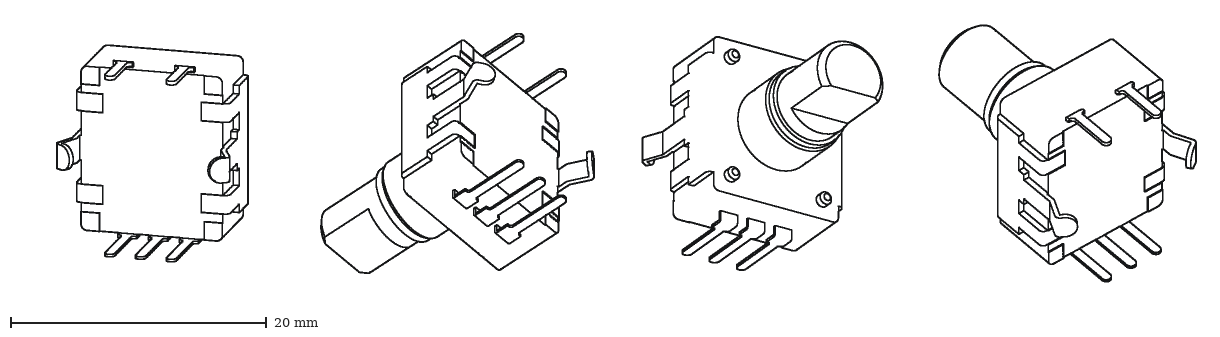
import cadquery as cq
import math


shaft_radius = 3.0
shaft_end = 11.47
shaft_chamfer = 0.48
flat_length = 5.0
flat_distance = 1.51
neck_radius = 3.34
neck_end = 5.0
bushing_radius = 3.5
bushing_end = 4.37
bushing_chamfer_length = 0.25
bushing_root_depth = 0.5

housing_width = 11.49
housing_height = 13.4
housing_depth = 5.92
corner_radius = 0.5
foot_size = 1.5
foot_height = 0.08

peg_radius = 0.52
peg_height = 0.8
peg_chamfer = 0.23
peg_x = 4.22
peg_z = 5.12

sheet = 0.4
cover_width = 12.5
cover_height = 10.37
plate_bend_radius = 0.45
tab_bend_radius = 0.4
plate_depth = 2.92
tab_center_z = 3.74
tab_width = 1.51
tab_length = 2.25
tab_recess = 0.08
leg_width = 2.02
leg_root_width = 3.15
leg_root_depth = 3.55
leg_straight_depth = 6.72
leg_kink_depth = 8.42
overall_width = 14.0
leg_splay_angle = 26.5
leg_tip_angle = 34.0
leg_tip_length = 1.36
leg_tip_radius = 0.99

pin_end_depth = 9.53
pin_spacing = 2.5
pin_head_width = 1.53
outer_shank_width = 0.8
middle_shank_width = 0.85
pin_flare_radius = 0.25
upper_pin_thickness = 0.32
upper_pin_z = 7.15
upper_pin_start = 5.05
upper_head_length = 0.48
lower_pin_thickness = 0.2
lower_pin_z = 7.6
lower_pin_start = 2.92
lower_head_length = 1.32

half_cover = cover_width / 2
half_housing = housing_width / 2
half_height = housing_height / 2
tab_depth = housing_depth - tab_recess


def span_box(x_range, y_range, z_range):
    """Box between the given coordinate pairs."""
    sizes = [high - low for low, high in (x_range, y_range, z_range)]
    corner = cq.Vector(x_range[0], y_range[0], z_range[0])
    return cq.Workplane(cq.Solid.makeBox(*sizes, pnt=corner))


def make_shaft():
    """Bushing, neck and shaft turned about Y, with the flat cut on the underside."""
    turned = (
        cq.Workplane("XY")
        .moveTo(0, -bushing_root_depth)
        .lineTo(bushing_radius, -bushing_root_depth)
        .lineTo(bushing_radius, bushing_end - bushing_chamfer_length)
        .lineTo(neck_radius, bushing_end)
        .lineTo(neck_radius, neck_end)
        .lineTo(shaft_radius, neck_end)
        .lineTo(shaft_radius, shaft_end - shaft_chamfer)
        .lineTo(shaft_radius - shaft_chamfer, shaft_end)
        .lineTo(0, shaft_end)
        .close()
        .revolve(360, (0, 0, 0), (0, 1, 0))
    )
    below_flat = span_box(
        (-shaft_radius, shaft_radius),
        (shaft_end - flat_length, shaft_end),
        (-shaft_radius, -flat_distance),
    )
    return turned.cut(below_flat)


def make_housing():
    """Block with rounded long edges, a raised foot in each back corner and four pegs."""
    full_depth = housing_depth + foot_height
    block = (
        cq.Workplane("XZ")
        .rect(housing_width, housing_height)
        .extrude(full_depth)
        .edges("|Y")
        .fillet(corner_radius)
    )
    foot_layer = (-full_depth, -housing_depth)
    inner_x = half_housing - foot_size
    inner_z = half_height - foot_size
    upright_gap = span_box((-inner_x, inner_x), foot_layer, (-half_height, half_height))
    level_gap = span_box((-half_housing, half_housing), foot_layer, (-inner_z, inner_z))
    pegs = (
        cq.Workplane("XZ")
        .rect(2 * peg_x, 2 * peg_z, forConstruction=True)
        .vertices()
        .circle(peg_radius)
        .extrude(-peg_height)
        .faces(">Y")
        .chamfer(peg_chamfer)
    )
    return block.cut(upright_gap).cut(level_gap).union(pegs)


def tab_z_range(side):
    """Z extent of the upper (+1) or lower (-1) tab."""
    center = side * tab_center_z
    return (center - tab_width / 2, center + tab_width / 2)


def tab_pocket(side):
    """Shallow pocket that sets the folded tab below the back face of the housing."""
    x_range = (half_cover - tab_length, half_cover)
    return span_box(x_range, (-housing_depth, -tab_depth), tab_z_range(side))


def make_tab(side):
    """Tab beside the housing, folded over its back face."""
    tab = span_box((half_cover - tab_length, half_cover), (-tab_depth, -plate_depth), tab_z_range(side))
    return tab.edges("|Z and >X and <Y").fillet(tab_bend_radius)


def make_leg():
    """+X snap-in leg: straight, splayed outward, then kinked back to a rounded tip."""
    splay = math.radians(leg_splay_angle)
    tip = math.radians(leg_tip_angle)
    inner_x = half_cover - sheet
    kink_x = overall_width / 2 - sheet

    def around(center_x, center_y, angle):
        return (center_x + sheet * math.cos(angle), center_y + sheet * math.sin(angle))

    bend = (half_cover, -leg_straight_depth)
    kink = (kink_x, -leg_kink_depth)
    tip_normal = tip - math.pi / 2
    tip_inner = (
        kink_x - leg_tip_length * math.cos(tip),
        -leg_kink_depth - leg_tip_length * math.sin(tip),
    )
    leg = (
        cq.Workplane("XY", origin=(0, 0, -leg_width / 2))
        .moveTo(inner_x, -plate_depth)
        .lineTo(half_cover, -plate_depth)
        .lineTo(*bend)
        .lineTo(*around(*kink, splay))
        .threePointArc(around(*kink, 0), around(*kink, -math.pi / 2 + tip))
        .lineTo(*around(*tip_inner, tip_normal))
        .lineTo(*tip_inner)
        .lineTo(*kink)
        .lineTo(*around(*bend, math.pi + splay))
        .threePointArc(around(*bend, math.pi + splay / 2), around(*bend, math.pi))
        .close()
        .extrude(leg_width)
    )
    across_tip = cq.Vector(math.cos(tip_normal), math.sin(tip_normal), 0)
    return leg.edges(cq.selectors.ParallelDirSelector(across_tip)).fillet(leg_tip_radius)


def make_side():
    """+X side of the cover: plate, two tabs and the leg, which meets the housing wall."""
    x_range = (half_housing, half_cover)
    plate = span_box(x_range, (-plate_depth, 0), (-cover_height / 2, cover_height / 2))
    plate = plate.edges("|Z and >X and >Y").fillet(plate_bend_radius)
    root = span_box(x_range, (-leg_root_depth, -plate_depth), (-leg_root_width / 2, leg_root_width / 2))
    leg_base = span_box(x_range, (-housing_depth, -plate_depth), (-leg_width / 2, leg_width / 2))
    leg = make_leg().union(leg_base)
    return plate.union(root).union(make_tab(1)).union(make_tab(-1)).union(leg)


def pin_blade(x, start, head_length, shank_width, bottom_z, thickness):
    """Flat blade along -Y: wide head, concave flare and a narrow shank with a round tip."""
    half_head = pin_head_width / 2
    half_width = shank_width / 2
    head_back = -start - head_length
    tip_center = -pin_end_depth + half_width
    head_edge = half_width + pin_flare_radius
    return (
        cq.Workplane("XY", origin=(x, 0, bottom_z))
        .moveTo(-half_head, -start)
        .lineTo(half_head, -start)
        .lineTo(half_head, head_back)
        .lineTo(head_edge, head_back)
        .radiusArc((half_width, head_back - pin_flare_radius), -pin_flare_radius)
        .lineTo(half_width, tip_center)
        .threePointArc((0, -pin_end_depth), (-half_width, tip_center))
        .lineTo(-half_width, head_back - pin_flare_radius)
        .radiusArc((-head_edge, head_back), -pin_flare_radius)
        .lineTo(-half_head, head_back)
        .close()
        .extrude(thickness)
    )


def make_upper_pin(x):
    """Terminal rising from the top face and bent back."""
    t = upper_pin_thickness
    blade = pin_blade(x, upper_pin_start, upper_head_length, outer_shank_width, upper_pin_z - t, t)
    x_range = (x - pin_head_width / 2, x + pin_head_width / 2)
    stem = span_box(x_range, (-upper_pin_start - t, -upper_pin_start), (half_height, upper_pin_z))
    return blade.union(stem).edges("|X and >Y and >Z").fillet(t)


def make_lower_pin(x, shank_width):
    """Terminal dropping from the bottom face and bent back."""
    t = lower_pin_thickness
    blade = pin_blade(x, lower_pin_start, lower_head_length, shank_width, -lower_pin_z, t)
    x_range = (x - pin_head_width / 2, x + pin_head_width / 2)
    stem = span_box(x_range, (-lower_pin_start - t, -lower_pin_start), (-lower_pin_z, -half_height))
    return blade.union(stem).edges("|X and >Y and <Z").fillet(t)


side_cover = make_side()
result = make_housing().union(make_shaft())
for tab_side in (1, -1):
    pocket = tab_pocket(tab_side)
    result = result.cut(pocket).cut(pocket.mirror("YZ"))
result = result.union(side_cover).union(side_cover.mirror("YZ"))

for pin_x in (-pin_spacing, pin_spacing):
    result = result.union(make_upper_pin(pin_x))
    result = result.union(make_lower_pin(pin_x, outer_shank_width))
result = result.union(make_lower_pin(0, middle_shank_width))